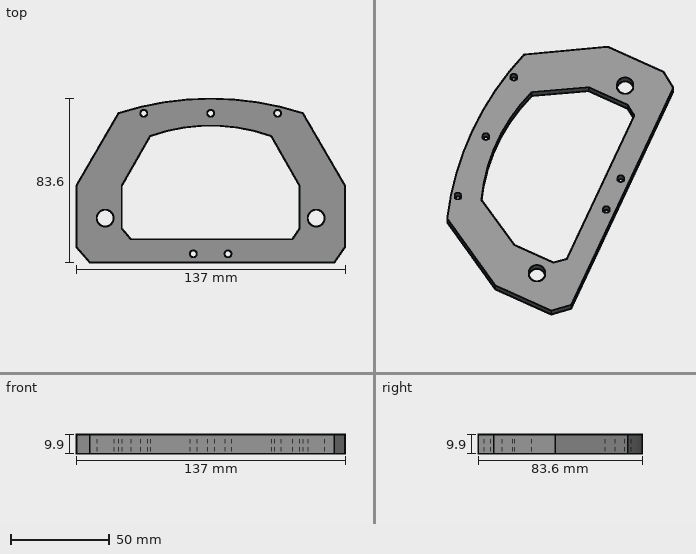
import cadquery as cq

thickness = 9.9

outer_half_width = 68.5
outer_crown_height = 83.6
outer_arc_half_chord = 47.0
outer_arc_end_height = 76.2
outer_chamfer_rise = 8.0
outer_chamfer_run_left = 7.0
outer_chamfer_run_right = 5.5

window_half_width = 45.2
window_bottom = 12.0
window_crown_height = 69.8
window_arc_half_chord = 30.8
window_arc_end_height = 64.5
window_chamfer_rise = 5.3
window_chamfer_run_left = 4.5
window_chamfer_run_right = 3.5

shoulder_height = 39.3

small_hole_diameter = 3.4
top_hole_spacing = 34.1
top_hole_height = 76.1
bottom_hole_spacing = 17.7
bottom_hole_height = 4.5
large_hole_diameter = 8.5
large_hole_spacing = 107.5
large_hole_height = 22.7


def arched_prism(
    half_width, bottom, chamfer_rise, run_left, run_right, arc_half_chord, arc_end_height, crown_height
):
    """Prism with chamfered bottom corners, sloping upper flanks and an arched top."""
    chamfer_top = bottom + chamfer_rise
    return (
        cq.Workplane("XY")
        .moveTo(-half_width + run_left, bottom)
        .lineTo(half_width - run_right, bottom)
        .lineTo(half_width, chamfer_top)
        .lineTo(half_width, shoulder_height)
        .lineTo(arc_half_chord, arc_end_height)
        .threePointArc((0, crown_height), (-arc_half_chord, arc_end_height))
        .lineTo(-half_width, shoulder_height)
        .lineTo(-half_width, chamfer_top)
        .close()
        .extrude(thickness)
    )


def hole_row(count, spacing, height, diameter):
    """Row of through-hole cylinders along X, centred on the plate."""
    first_x = -spacing * (count - 1) / 2
    centres = [(first_x + i * spacing, height) for i in range(count)]
    return cq.Workplane("XY").pushPoints(centres).circle(diameter / 2).extrude(thickness)


body = arched_prism(
    outer_half_width,
    0,
    outer_chamfer_rise,
    outer_chamfer_run_left,
    outer_chamfer_run_right,
    outer_arc_half_chord,
    outer_arc_end_height,
    outer_crown_height,
)
window = arched_prism(
    window_half_width,
    window_bottom,
    window_chamfer_rise,
    window_chamfer_run_left,
    window_chamfer_run_right,
    window_arc_half_chord,
    window_arc_end_height,
    window_crown_height,
)

top_holes = hole_row(3, top_hole_spacing, top_hole_height, small_hole_diameter)
bottom_holes = hole_row(2, bottom_hole_spacing, bottom_hole_height, small_hole_diameter)
large_holes = hole_row(2, large_hole_spacing, large_hole_height, large_hole_diameter)

result = body.cut(window).cut(top_holes).cut(bottom_holes).cut(large_holes)